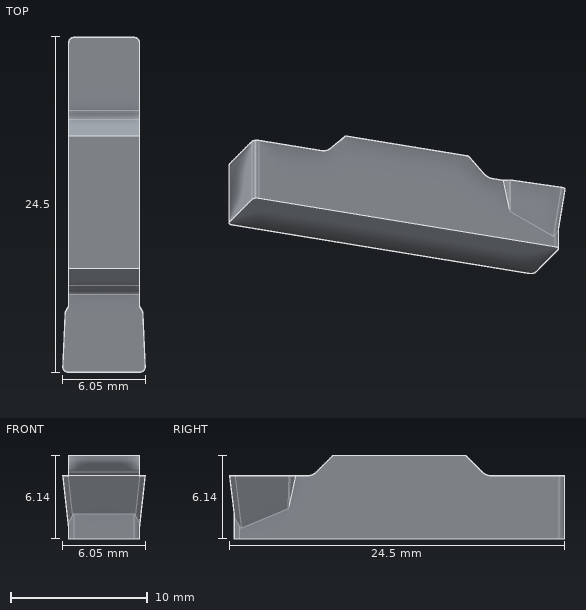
import cadquery as cq
import math

overall_length = 24.53
overall_height = 6.14
head_width = 6.05
body_width = 5.2

seat_height = 4.65
ramp_setback = 7.24
ramp_angle = 45.0
ramp_root_radius = 0.95
corner_radius = 0.4

front_relief_angle = 7.0
side_relief_angle = 6.0
back_clearance_angle = 2.5
front_land_height = 1.85
step_start = 4.40
step_angle = 29.0
step_radius = 0.2
head_tail_width = body_width / 2


def tan_deg(angle):
    return math.tan(math.radians(angle))


def cos_deg(angle):
    return math.cos(math.radians(angle))


body_front = (seat_height - front_land_height) * tan_deg(front_relief_angle)
body_back = overall_length
ramp_run = (overall_height - seat_height) / tan_deg(ramp_angle)


def make_body():
    """Bar with a raised middle, ramps at both ends and rounded upright corners."""
    ridge_front = body_front + ramp_setback
    ridge_back = body_back - ramp_setback
    root_front = ridge_front - ramp_run
    root_back = ridge_back + ramp_run
    profile = [
        (body_front, 0),
        (body_back, 0),
        (body_back, seat_height),
        (root_back, seat_height),
        (ridge_back, overall_height),
        (ridge_front, overall_height),
        (root_front, seat_height),
        (body_front, seat_height),
    ]
    bar = cq.Workplane("YZ").polyline(profile).close().extrude(body_width / 2, both=True)
    for root in (root_front, root_back):
        root_edge = cq.selectors.NearestToPointSelector((0, root, seat_height))
        bar = bar.edges(root_edge).fillet(ramp_root_radius)
    return bar.edges("|Z").fillet(corner_radius)


def head_outline(depth):
    """Points of the sharp-cornered head outline at a depth below the cutting edge."""
    front = depth * tan_deg(front_relief_angle)
    relief = depth * tan_deg(side_relief_angle)

    side_slope = tan_deg(back_clearance_angle)
    side_at_edge = head_width / 2 + corner_radius * side_slope
    side_offset = relief / cos_deg(back_clearance_angle)

    step_slope = tan_deg(step_angle)
    step_at_edge = side_at_edge + step_start * (step_slope - side_slope)
    step_offset = relief / cos_deg(step_angle)

    side_at_edge -= side_offset
    step_at_edge -= step_offset
    corner_y = (step_at_edge - side_at_edge) / (step_slope - side_slope)
    corner_half = side_at_edge - corner_y * side_slope
    front_half = side_at_edge - front * side_slope

    tail_half = head_tail_width / 2
    tail_y = (step_at_edge - tail_half) / step_slope
    right = [(front_half, front), (corner_half, corner_y), (tail_half, tail_y)]
    left = [(-x, y) for x, y in reversed(right)]
    return right + left


def make_head():
    """Cutting head, relieved inward below its top face on the front and both sides."""
    head = (
        cq.Workplane("XY")
        .polyline(head_outline(seat_height)).close()
        .workplane(offset=seat_height)
        .polyline(head_outline(0)).close()
        .loft(ruled=True)
    )
    mid_height = seat_height / 2
    front_corner, step_corner = head_outline(mid_height)[:2]
    for (x, y), radius in ((front_corner, corner_radius), (step_corner, step_radius)):
        for side in (-1, 1):
            corner = cq.selectors.NearestToPointSelector((side * x, y, mid_height))
            head = head.edges(corner).fillet(radius)
    return head


result = make_body().union(make_head())